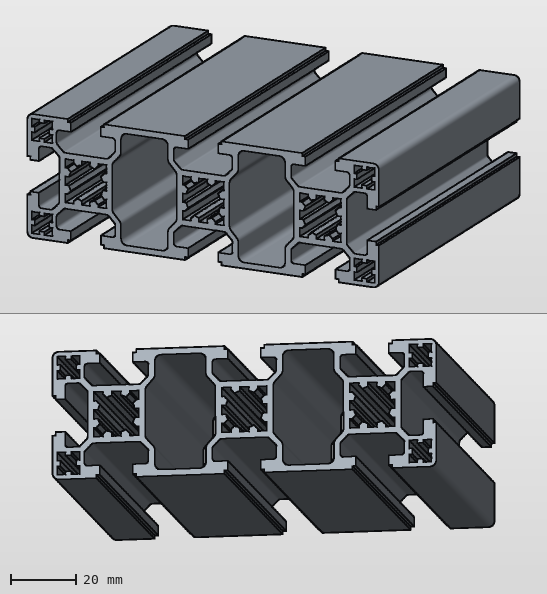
import cadquery as cq

module = 40.0
module_count = 3
width = module * module_count
height = module
length = 100.0
corner_radius = 2.0

mouth_recess_width = 12.4
mouth_recess_depth = 1.0
mouth_width = 10.2
lip_thickness = 4.0
slot_width = 20.0
slot_wall_depth = 8.4
slot_depth = 11.0
slot_floor_width = 14.8
slot_corner_radius = 1.0
slot_bend_radius = 1.0

wall = 2.0
core_size = module - 2 * (slot_depth + wall)
core_bore_diameter = 11.8
core_groove_width = 2.8
core_diagonal_groove_width = 2.9
core_corner_pocket_size = 2.8

corner_cell_size = 7.0
corner_cell_offset = 5.0
corner_rib_width = 1.8
corner_rib_height = 1.0

cavity_neck_half_width = 8.0
cavity_half_width = 11.0
cavity_half_height = module / 2 - wall
cavity_neck_start = 11.0
cavity_bulge_end = 7.7
cavity_corner_radius = 2.0
cavity_bend_radius = 2.0

module_centers = [module * (i - (module_count - 1) / 2) for i in range(module_count)]
cavity_centers = [x + module / 2 for x in module_centers[:-1]]


def prism(sketch):
    """Extrude a closed XZ outline centred along Y."""
    return sketch.extrude(length / 2, both=True)


def section():
    return cq.Workplane("XZ")


def box(size_x, size_z, x=0.0, z=0.0):
    return prism(section().center(x, z).rect(size_x, size_z))


def t_slot():
    """Slot opening at the top face of a module centred on the origin."""
    top = module / 2
    chamber_half = [
        (slot_width / 2, top - lip_thickness),
        (slot_width / 2, top - slot_wall_depth),
        (slot_floor_width / 2, top - slot_depth),
    ]
    mirrored_half = [(-x, z) for x, z in reversed(chamber_half)]
    chamber = prism(section().polyline(chamber_half + mirrored_half).close())
    chamber = chamber.edges("|Y").edges("not >Z").fillet(slot_bend_radius)
    chamber = chamber.edges("|Y and >Z").fillet(slot_corner_radius)
    mouth = box(mouth_width, lip_thickness, z=top - lip_thickness / 2)
    recess = box(mouth_recess_width, mouth_recess_depth, z=top - mouth_recess_depth / 2)
    return chamber.union(mouth).union(recess)


def core_cell():
    """Square cell with square corner pockets, whose pointed ribs end on a round screw bore."""
    grooves = prism(section().circle(core_bore_diameter / 2))
    groove_length = 2 * core_size
    for angle in (0, 45, 90, 135):
        is_diagonal = angle % 90 != 0
        groove_width = core_diagonal_groove_width if is_diagonal else core_groove_width
        groove = box(groove_length, groove_width)
        grooves = grooves.union(groove.rotate((0, 0, 0), (0, 1, 0), angle))
    cell = grooves.intersect(box(core_size, core_size))

    pocket_center = (core_size - core_corner_pocket_size) / 2
    for x in (-pocket_center, pocket_center):
        for z in (-pocket_center, pocket_center):
            cell = cell.union(box(core_corner_pocket_size, core_corner_pocket_size, x, z))
    return cell


def corner_cell():
    """Square cell with one short rib in the middle of each wall."""
    cell = box(corner_cell_size, corner_cell_size)
    rib_center = (corner_cell_size - corner_rib_height) / 2
    for angle in (0, 90, 180, 270):
        rib = box(corner_rib_width, corner_rib_height, z=rib_center)
        cell = cell.cut(rib.rotate((0, 0, 0), (0, 1, 0), angle))
    return cell


def cavity():
    """Tall cell that widens around its middle."""
    right_side = [
        (cavity_neck_half_width, cavity_half_height),
        (cavity_neck_half_width, cavity_neck_start),
        (cavity_half_width, cavity_bulge_end),
        (cavity_half_width, -cavity_bulge_end),
        (cavity_neck_half_width, -cavity_neck_start),
        (cavity_neck_half_width, -cavity_half_height),
    ]
    left_side = [(-x, z) for x, z in reversed(right_side)]
    cell = prism(section().polyline(right_side + left_side).close())
    cell = cell.edges("|Y").edges("not (>Z or <Z)").fillet(cavity_bend_radius)
    return cell.edges("|Y").edges(">Z or <Z").fillet(cavity_corner_radius)


def profile():
    body = box(width, height).edges("|Y").fillet(corner_radius)

    slot = t_slot()
    core = core_cell()
    upside_down = slot.rotate((0, 0, 0), (0, 1, 0), 180)
    for x in module_centers:
        for opening in (slot, upside_down, core):
            body = body.cut(opening.translate((x, 0, 0)))

    right_slot = slot.rotate((0, 0, 0), (0, 1, 0), 90)
    left_slot = slot.rotate((0, 0, 0), (0, 1, 0), -90)
    body = body.cut(right_slot.translate((module_centers[-1], 0, 0)))
    body = body.cut(left_slot.translate((module_centers[0], 0, 0)))

    for x in cavity_centers:
        body = body.cut(cavity().translate((x, 0, 0)))

    corner_x = width / 2 - corner_cell_offset
    corner_z = height / 2 - corner_cell_offset
    for x in (-corner_x, corner_x):
        for z in (-corner_z, corner_z):
            body = body.cut(corner_cell().translate((x, 0, z)))
    return body


result = profile()